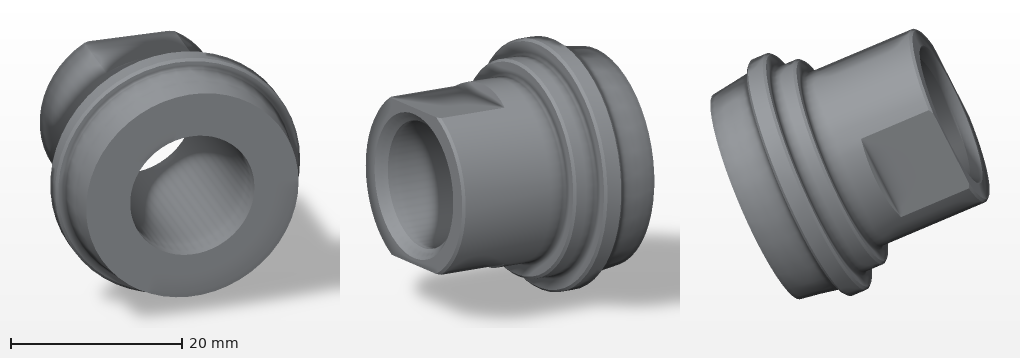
import cadquery as cq
import math

total_length = 25.0
shoulder_x = 14.0
flange_x = 17.0
nose_x = 19.5

neck_diameter = 22.0
shoulder_diameter = 26.0
flange_diameter = 30.0
nose_base_diameter = 27.72
nose_end_diameter = 26.0
bore_diameter = 15.2
bore_mouth_diameter = 17.45

edge_chamfer = 0.3
root_fillet = 0.4
nose_root_fillet = 0.3

across_flats = 19.0
flat_length = 9.03
flat_end_tilt = 15


def step_edge(body, x, diameter):
    """Select the circular edge of the given diameter lying at x."""
    tolerance = 0.003

    def matches(edge):
        if edge.geomType() != "CIRCLE":
            return False
        same_place = abs(edge.arcCenter().x - x) < tolerance
        return same_place and abs(2 * edge.radius() - diameter) < tolerance

    return body.newObject([edge for edge in body.edges().vals() if matches(edge)])


def turned_body():
    """Neck, shoulder, flange and tapered nose, revolved about the X axis."""
    neck_radius = neck_diameter / 2
    shoulder_radius = shoulder_diameter / 2
    flange_radius = flange_diameter / 2
    outline = [
        (0, 0),
        (0, neck_radius),
        (shoulder_x, neck_radius),
        (shoulder_x, shoulder_radius),
        (flange_x, shoulder_radius),
        (flange_x, flange_radius),
        (nose_x, flange_radius),
        (nose_x, nose_base_diameter / 2),
        (total_length, nose_end_diameter / 2),
        (total_length, 0),
    ]
    body = cq.Workplane("XY").polyline(outline).close().revolve(360, (0, 0), (1, 0))

    inside_corners = [
        (shoulder_x, neck_diameter, root_fillet),
        (flange_x, shoulder_diameter, root_fillet),
        (nose_x, nose_base_diameter, nose_root_fillet),
    ]
    for x, diameter, radius in inside_corners:
        body = step_edge(body, x, diameter).fillet(radius)

    outside_corners = [
        (0, neck_diameter),
        (shoulder_x, shoulder_diameter),
        (flange_x, flange_diameter),
        (nose_x, flange_diameter),
    ]
    for x, diameter in outside_corners:
        body = step_edge(body, x, diameter).chamfer(edge_chamfer)
    return body


def bore():
    """Through bore with a conical mouth at the neck face."""
    bore_radius = bore_diameter / 2
    mouth_radius = bore_mouth_diameter / 2
    mouth_depth = mouth_radius - bore_radius
    outline = [
        (0, 0),
        (0, mouth_radius),
        (mouth_depth, bore_radius),
        (total_length, bore_radius),
        (total_length, 0),
    ]
    return cq.Workplane("XY").polyline(outline).close().revolve(360, (0, 0), (1, 0))


def flat_cut():
    """Material above the upper wrench flat, ending in a tilted wall."""
    flat_z = across_flats / 2
    top_z = flange_diameter / 2
    tilt_run = (top_z - flat_z) * math.tan(math.radians(flat_end_tilt))
    outline = [
        (0, flat_z),
        (flat_length, flat_z),
        (flat_length + tilt_run, top_z),
        (0, top_z),
    ]
    return cq.Workplane("XZ").polyline(outline).close().extrude(neck_diameter / 2, both=True)


upper_flat = flat_cut()
lower_flat = upper_flat.mirror("XY")
result = turned_body().cut(bore()).cut(upper_flat).cut(lower_flat)